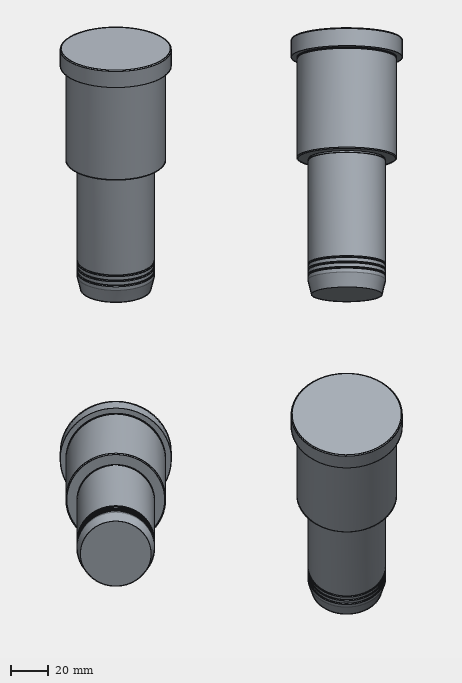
import cadquery as cq

total_length = 141.0
head_height = 10.0
body_length = 56.0
nose_length = 7.9

head_diameter = 60.0
body_diameter = 54.0
shank_diameter = 42.0
nose_tip_diameter = 38.2

head_chamfer = 0.5
body_chamfer = 0.5
relief_depth = 0.4
body_relief_height = 0.8
shank_relief_height = 1.0

groove_count = 3
groove_width = 1.0
groove_depth = 0.4
groove_pitch = 3.0
lowest_groove_height = 10.0

head_bottom = total_length - head_height
body_bottom = head_bottom - body_length


def cylinder(diameter, bottom, top):
    """Solid cylinder on the Z axis between two heights."""
    return cq.Workplane("XY").workplane(offset=bottom).circle(diameter / 2).extrude(top - bottom)


def ring_cut(diameter, depth, bottom, height):
    """Ring that cuts a groove of the given depth into a cylinder."""
    outer = cylinder(diameter + 2 * depth, bottom, bottom + height)
    core = cylinder(diameter - 2 * depth, bottom, bottom + height)
    return outer.cut(core)


def v_groove_cut(diameter, depth, bottom, width):
    """Ring of diamond section that cuts a V groove into a cylinder."""
    radius = diameter / 2
    section = [
        (radius, bottom),
        (radius - depth, bottom + width / 2),
        (radius, bottom + width),
        (radius + depth, bottom + width / 2),
    ]
    return cq.Workplane("XZ").polyline(section).close().revolve(360, (0, 0), (0, 1))


head = cylinder(head_diameter, head_bottom, total_length).faces(">Z").chamfer(head_chamfer)

body = cylinder(body_diameter, body_bottom, head_bottom).faces("<Z").chamfer(body_chamfer)
body = body.cut(
    v_groove_cut(body_diameter, relief_depth, head_bottom - body_relief_height, body_relief_height)
)

shank = cylinder(shank_diameter, nose_length, body_bottom)
shank = shank.cut(
    ring_cut(shank_diameter, relief_depth, body_bottom - shank_relief_height, shank_relief_height)
)
for index in range(groove_count):
    groove_bottom = lowest_groove_height + index * groove_pitch
    shank = shank.cut(v_groove_cut(shank_diameter, groove_depth, groove_bottom, groove_width))

nose = (
    cq.Workplane("XY")
    .circle(nose_tip_diameter / 2)
    .workplane(offset=nose_length)
    .circle(shank_diameter / 2)
    .loft(ruled=True)
)

result = head.union(body).union(shank).union(nose)